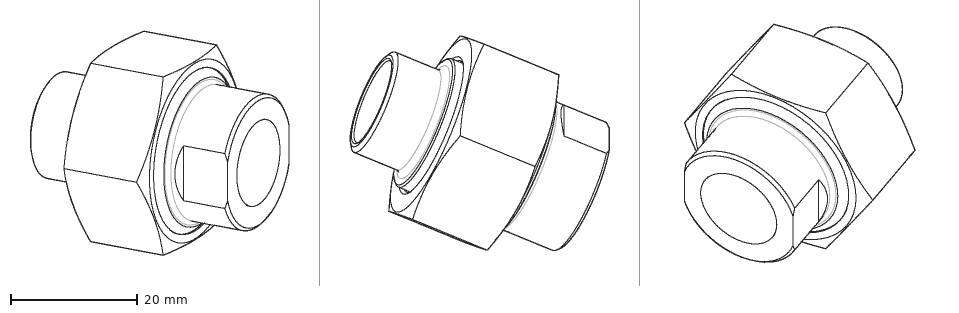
import cadquery as cq
import math

length = 37.0
bore_radius = 14.0 / 2

nut_start = 10.47
nut_end = 25.5
nut_across_flats = 30.0
nut_face_radius = 29.55 / 2
nut_corner_radius = nut_across_flats / math.sqrt(3)
nut_bevel_angle = math.radians(20)
nut_bevel = (nut_corner_radius - nut_face_radius) * math.tan(nut_bevel_angle)
nut_lip_radius = 22.5 / 2
nut_mouth_chamfer = 0.48
nut_lip_end = 13.32
nut_thread_radius = 26.85 / 2

tube_radius = 17.2 / 2
tube_mouth_chamfer = 0.3
tube_bevel_length = 0.5
tube_bevel_depth = 0.78
shoulder_start = 9.05
shoulder_radius = 22.0 / 2
shoulder_chamfer = 0.3
shoulder_fillet = 1.05
collar_radius = 25.4 / 2
seat_x = 16.65

step_x = 26.55
cone_end_radius = 24.12 / 2
cone_start = step_x - (nut_thread_radius - cone_end_radius)
body_radius = 22.0 / 2
body_fillet = 0.7
body_end_chamfer = 0.5
flats_distance = 19.98
flat_start = 29.0
cutter_reach = 14.8


def revolve_about_x(profile):
    """Turn a closed outline of axial position and radius about the X axis."""
    return profile.close().revolve(360, (0, 0, 0), (1, 0, 0))


def quarter_fillet(profile, center_x, center_r, radius, start_deg, end_deg):
    """Continue an outline with an arc from its present point."""
    mid = math.radians((start_deg + end_deg) / 2)
    end = math.radians(end_deg)
    return profile.threePointArc(
        (center_x + radius * math.cos(mid), center_r + radius * math.sin(mid)),
        (center_x + radius * math.cos(end), center_r + radius * math.sin(end)),
    )


def make_nut():
    width = nut_end - nut_start
    hexagon = (
        cq.Workplane("YZ", origin=(nut_start, 0, 0))
        .polygon(6, 2 * nut_corner_radius)
        .extrude(width)
    )
    envelope = revolve_about_x(
        cq.Workplane("XY")
        .moveTo(nut_start, nut_lip_radius + nut_mouth_chamfer)
        .lineTo(nut_start, nut_face_radius)
        .lineTo(nut_start + nut_bevel, nut_corner_radius)
        .lineTo(nut_end - nut_bevel, nut_corner_radius)
        .lineTo(nut_end, nut_face_radius)
        .lineTo(nut_end, nut_thread_radius)
        .lineTo(nut_lip_end, nut_thread_radius)
        .lineTo(nut_lip_end, nut_lip_radius)
        .lineTo(nut_start + nut_mouth_chamfer, nut_lip_radius)
    )
    return hexagon.intersect(envelope)


def make_tailpiece():
    profile = (
        cq.Workplane("XY")
        .moveTo(seat_x, bore_radius)
        .lineTo(tube_mouth_chamfer, bore_radius)
        .lineTo(0, bore_radius + tube_mouth_chamfer)
        .lineTo(0, tube_radius - tube_bevel_depth)
        .lineTo(tube_bevel_length, tube_radius)
        .lineTo(shoulder_start - shoulder_fillet, tube_radius)
    )
    profile = quarter_fillet(
        profile,
        shoulder_start - shoulder_fillet,
        tube_radius + shoulder_fillet,
        shoulder_fillet,
        -90,
        0,
    )
    return revolve_about_x(
        profile
        .lineTo(shoulder_start, shoulder_radius - shoulder_chamfer)
        .lineTo(shoulder_start + shoulder_chamfer, shoulder_radius)
        .lineTo(nut_lip_end, shoulder_radius)
        .lineTo(nut_lip_end, collar_radius)
        .lineTo(seat_x, collar_radius)
    )


def make_end_body():
    profile = (
        cq.Workplane("XY")
        .moveTo(seat_x, bore_radius)
        .lineTo(seat_x, nut_thread_radius)
        .lineTo(cone_start, nut_thread_radius)
        .lineTo(step_x, cone_end_radius)
        .lineTo(step_x, body_radius + body_fillet)
    )
    profile = quarter_fillet(
        profile, step_x + body_fillet, body_radius + body_fillet, body_fillet, 180, 270
    )
    body = revolve_about_x(
        profile
        .lineTo(length - body_end_chamfer, body_radius)
        .lineTo(length, body_radius - body_end_chamfer)
        .lineTo(length, bore_radius)
    )
    return cut_wrench_flats(body)


def cut_wrench_flats(body):
    """Cut two opposite flats that run out through 45 degree ramps."""
    flat_y = flats_distance / 2
    ramp = cutter_reach - flat_y
    for side in (-1, 1):
        cutter = (
            cq.Workplane("XY")
            .moveTo(flat_start, side * flat_y)
            .lineTo(length, side * flat_y)
            .lineTo(length, side * cutter_reach)
            .lineTo(flat_start - ramp, side * cutter_reach)
            .close()
            .extrude(cutter_reach, both=True)
        )
        body = body.cut(cutter)
    return body


nut = make_nut()
tailpiece = make_tailpiece()
end_body = make_end_body()

result = cq.Compound.makeCompound([nut.val(), tailpiece.val(), end_body.val()])